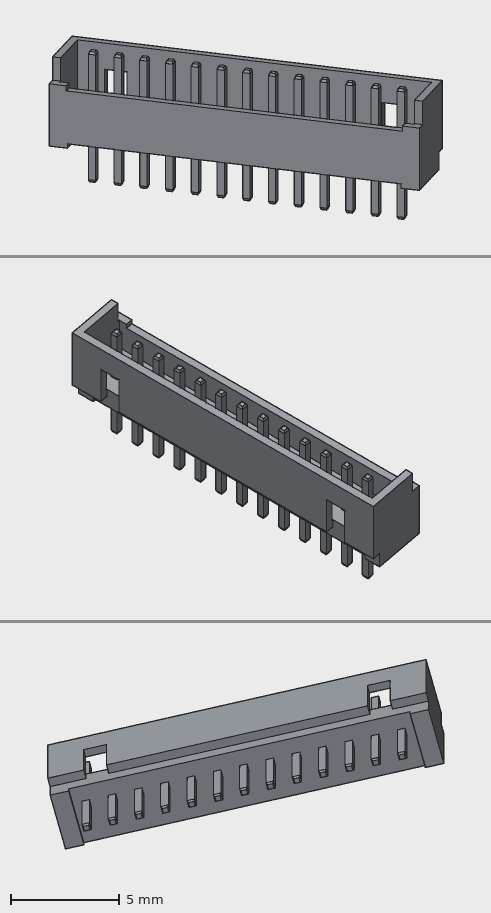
import cadquery as cq

length = 18.0
depth = 3.33
housing_height = 4.23
front = -depth / 2
back = depth / 2

wall = 0.4
cavity_depth = 2.92

corner_step_depth = 0.49
corner_step_drop = 1.15
front_wall_drop = 1.4
front_corner_width = 0.83

foot_width = 0.88
foot_height = 0.22

rebate_depth = 0.45
rebate_height = 0.86

window_width = 1.08
window_centre = 6.75
window_drop = 1.3

pin_count = 13
pin_span = 15.01
pin_pitch = pin_span / (pin_count - 1)
pin_size = 0.36
pin_bottom = -2.25
pin_top_drop = 0.04
pin_length = housing_height - pin_top_drop - pin_bottom
pin_from_back = 1.4
pin_tip_length = 0.13
pin_tip_inset = 0.05


def block(x_min, x_max, y_min, y_max, z_min, z_max):
    """Box given by its limits along each axis."""
    size = (x_max - x_min, y_max - y_min, z_max - z_min)
    return cq.Workplane("XY").box(*size, centered=False).translate((x_min, y_min, z_min))


def full_length_block(y_min, y_max, z_min, z_max, end_margin=0.0):
    """Box along the housing, stopping end_margin short of each end."""
    half = length / 2 - end_margin
    return block(-half, half, y_min, y_max, z_min, z_max)


def make_shell():
    """Open-topped box with its front wall stepped down."""
    shell = full_length_block(front, back, 0, housing_height)
    cavity = full_length_block(
        front + wall, back - wall, housing_height - cavity_depth, housing_height, wall
    )
    corner_step = full_length_block(
        front, front + corner_step_depth, housing_height - corner_step_drop, housing_height
    )
    wall_step = full_length_block(
        front, front + wall, housing_height - front_wall_drop, housing_height, front_corner_width
    )
    return shell.cut(cavity).cut(corner_step).cut(wall_step)


def cut_underside(shell):
    """Remove the relief between the feet and the rebate along the back."""
    relief = full_length_block(front, back, 0, foot_height, foot_width)
    rebate = full_length_block(back - rebate_depth, back, 0, rebate_height)
    return shell.cut(relief).cut(rebate)


def cut_windows(shell):
    """Open one window near each end of the back wall."""
    for centre in (-window_centre, window_centre):
        window = block(
            centre - window_width / 2,
            centre + window_width / 2,
            back - rebate_depth,
            back,
            rebate_height,
            housing_height - window_drop,
        )
        shell = shell.cut(window)
    return shell


def make_pin(x):
    """Square pin with chamfered ends, its top just below the housing rim."""
    return (
        cq.Workplane("XY")
        .box(pin_size, pin_size, pin_length)
        .faces("<Z or >Z")
        .chamfer(pin_tip_length, pin_tip_inset)
        .translate((x, back - pin_from_back, pin_bottom + pin_length / 2))
    )


result = cut_windows(cut_underside(make_shell()))
for index in range(pin_count):
    result = result.union(make_pin(index * pin_pitch - pin_span / 2))